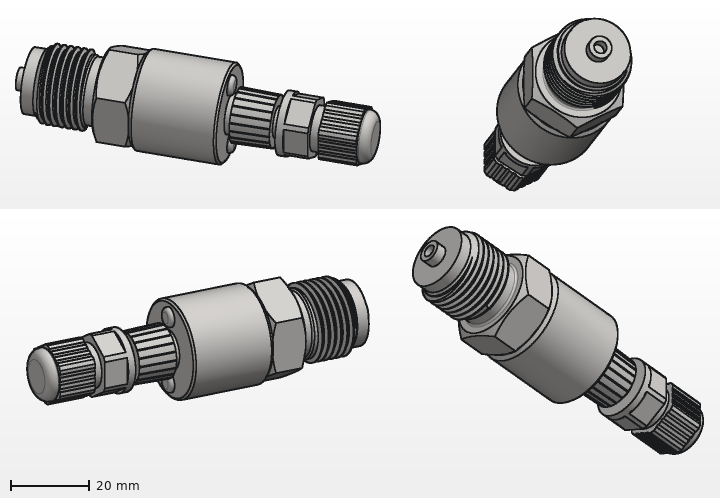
import cadquery as cq
import math


tip_length = 2.9
tip_diameter = 6.0
bore_diameter = 3.3
nose_diameter = 17.4
nose_end = 6.3
thread_pitch = 1.8
thread_diameter = 21.0
thread_root_diameter = 18.7
thread_first_crest = 6.5
thread_turns = 6.7
thread_end = 19.0
ridge_base_width = 1.5
ridge_crest_width = 0.3
ridge_overlap = 0.2
crest_clearance = 0.1
lead_in = 0.5 * (thread_root_diameter - nose_diameter)
undercut_diameter = 17.9
undercut_start = thread_end + 0.6
undercut_fillet = 0.6

hex_start = 22.6
hex_end = 32.6
hex_corners = 27.7
hex_front_face_diameter = 22.7
hex_back_face_diameter = 24.4
hex_chamfer_angle = 30.0
housing_diameter = 26.5
housing_end = 56.1
housing_end_chamfer = 0.6
socket_diameter = 10.7
socket_end = 58.0

screw_head_diameter = 5.4
screw_head_height = 1.3
screw_head_fillet = 1.1
screw_offset = 9.0

ring_diameter = 14.6
ring_small_diameter = 14.0
ring_end = 68.6
ring_groove_count = 20
ring_groove_width = 0.3
ring_groove_depth = 0.2

stem_diameter = 8.2
flange_diameter = 17.0
flange_start = 70.5
flange_end = 72.6
gland_hex_flats = 15.35
gland_hex_end = 79.0
gland_neck_diameter = 12.0
nut_start = 81.7
nut_end = 91.8
nut_flats = 14.7
nut_corner_diameter = 16.3
nut_groove_spacing = 2.0
nut_groove_width = 0.9
nut_groove_depth = 0.2
dome_diameter = 14.0
dome_fillet = 2.6
total_length = 94.7


def cylinder(start, end, diameter):
    """Round bar along X between two stations."""
    return cq.Workplane("YZ", origin=(start, 0, 0)).circle(diameter / 2).extrude(end - start)


def hex_bar(start, end, corners):
    """Hexagonal bar along X with two corners on the Z axis."""
    bar = cq.Workplane("YZ", origin=(start, 0, 0)).polygon(6, corners).extrude(end - start)
    return bar.rotate((0, 0, 0), (1, 0, 0), 30)


def turned(profile):
    """Solid of revolution about X from (station, radius) points."""
    first, last = profile[0], profile[-1]
    outline = [(first[0], 0), *profile, (last[0], 0)]
    return cq.Workplane("XY").polyline(outline).close().revolve(360, (0, 0, 0), (1, 0, 0))


def thread_ridge():
    """Right-handed helical ridge, trimmed to the lead-in cone and the thread end."""
    root = thread_root_diameter / 2
    crest = thread_diameter / 2
    helix = cq.Wire.makeHelix(
        thread_pitch, thread_pitch * thread_turns, root, cq.Vector(0, 0, 0), cq.Vector(0, 0, 1)
    )
    profile = [
        (root - ridge_overlap, -ridge_base_width / 2),
        (crest, -ridge_crest_width / 2),
        (crest, ridge_crest_width / 2),
        (root - ridge_overlap, ridge_base_width / 2),
    ]
    ridge = cq.Workplane("XZ").polyline(profile).close().sweep(cq.Workplane(helix), isFrenet=True)
    ridge = ridge.rotate((0, 0, 0), (1, 1, 1), 120).translate((thread_first_crest, 0, 0))
    rim = crest + crest_clearance
    height = rim - nose_diameter / 2
    envelope = turned([(nose_end, nose_diameter / 2), (nose_end + height, rim), (thread_end, rim)])
    return ridge.intersect(envelope)


def pressure_port():
    """Threaded stud with its undercut and the bored tip in front of it."""
    root = thread_root_diameter / 2
    undercut = undercut_diameter / 2
    nose = nose_diameter / 2
    core = turned([
        (tip_length, nose),
        (nose_end, nose),
        (nose_end + lead_in, root),
        (thread_end, root),
        (undercut_start, undercut),
        (hex_start, undercut),
    ])
    flare = (
        cq.Workplane("XY")
        .moveTo(hex_start - undercut_fillet, undercut)
        .radiusArc((hex_start, undercut + undercut_fillet), -undercut_fillet)
        .lineTo(hex_start, 0)
        .lineTo(hex_start - undercut_fillet, 0)
        .close()
        .revolve(360, (0, 0, 0), (1, 0, 0))
    )
    tip = cylinder(0, tip_length, tip_diameter)
    bore = cylinder(0, tip_length, bore_diameter)
    return core.union(flare).union(thread_ridge()).union(tip).cut(bore)


def wrench_hexagon():
    """Hexagon with its corners turned down to a cone at both ends."""
    corner = hex_corners / 2
    slope = math.tan(math.radians(hex_chamfer_angle))
    front = hex_front_face_diameter / 2
    back = hex_back_face_diameter / 2
    envelope = turned([
        (hex_start, front),
        (hex_start + slope * (corner - front), corner),
        (hex_end - slope * (corner - back), corner),
        (hex_end, back),
    ])
    return hex_bar(hex_start, hex_end, hex_corners).intersect(envelope)


def screw_head(side):
    """Rounded screw head on the housing end, above (+1) or below (-1) the axis."""
    return (
        cq.Workplane("YZ", origin=(housing_end, 0, side * screw_offset))
        .circle(screw_head_diameter / 2)
        .extrude(screw_head_height)
        .faces(">X")
        .edges()
        .fillet(screw_head_fillet)
    )


def make_sensor():
    """Pressure port, wrench hexagon, housing, socket and screw heads as one solid."""
    radius = housing_diameter / 2
    shoulder = hex_back_face_diameter / 2
    housing = turned([
        (hex_end, shoulder),
        (hex_end + radius - shoulder, radius),
        (housing_end - housing_end_chamfer, radius),
        (housing_end, radius - housing_end_chamfer),
    ])
    sensor = pressure_port().union(wrench_hexagon()).union(housing)
    sensor = sensor.union(cylinder(housing_end, socket_end, socket_diameter))
    for side in (1, -1):
        sensor = sensor.union(screw_head(side))
    return sensor


def make_coupling_ring():
    """Tapered ring around the gland stem, with V grooves along its outside."""
    large = ring_diameter / 2
    small = ring_small_diameter / 2
    ring = turned([(socket_end, large), (ring_end, small)])
    ring = ring.cut(cylinder(socket_end, ring_end, stem_diameter))
    half = ring_groove_width / 2
    section_start = [(-half, large), (half, large), (0, large - ring_groove_depth)]
    groove = (
        cq.Workplane("YZ", origin=(socket_end, 0, 0))
        .polyline(section_start)
        .close()
        .workplane(offset=ring_end - socket_end)
        .polyline([(y, z - large + small) for y, z in section_start])
        .close()
        .loft(ruled=True)
    )
    for index in range(ring_groove_count):
        ring = ring.cut(groove.rotate((0, 0, 0), (1, 0, 0), 360 / ring_groove_count * index))
    return ring


def clamping_nut():
    """Hexagonal nut with rounded-off corners and three shallow axial grooves in each face."""
    length = nut_end - nut_start
    nut = hex_bar(nut_start, nut_end, nut_flats / math.cos(math.pi / 6))
    nut = nut.intersect(cylinder(nut_start, nut_end, nut_corner_diameter))
    groove = cq.Workplane("XY").box(
        length, 2 * nut_groove_depth, nut_groove_width, centered=(False, True, True)
    )
    for face in range(6):
        for step in (-1, 0, 1):
            cutter = groove.translate((nut_start, nut_flats / 2, step * nut_groove_spacing))
            nut = nut.cut(cutter.rotate((0, 0, 0), (1, 0, 0), 60 * face))
    return nut


def make_cable_gland():
    """Stem, flange, hexagon, neck, clamping nut and domed end as one solid."""
    stem = cylinder(socket_end, flange_start, stem_diameter)
    flange = cylinder(flange_start, flange_end, flange_diameter)
    body = hex_bar(flange_end, gland_hex_end, gland_hex_flats / math.cos(math.pi / 6))
    body = body.intersect(cylinder(flange_end, gland_hex_end, flange_diameter))
    neck = cylinder(gland_hex_end, nut_start, gland_neck_diameter)
    dome = cylinder(nut_start, total_length, dome_diameter).faces(">X").edges().fillet(dome_fillet)
    return stem.union(flange).union(body).union(neck).union(clamping_nut()).union(dome)


sensor = make_sensor()
coupling_ring = make_coupling_ring()
cable_gland = make_cable_gland()

result = cq.Compound.makeCompound([sensor.val(), coupling_ring.val(), cable_gland.val()])